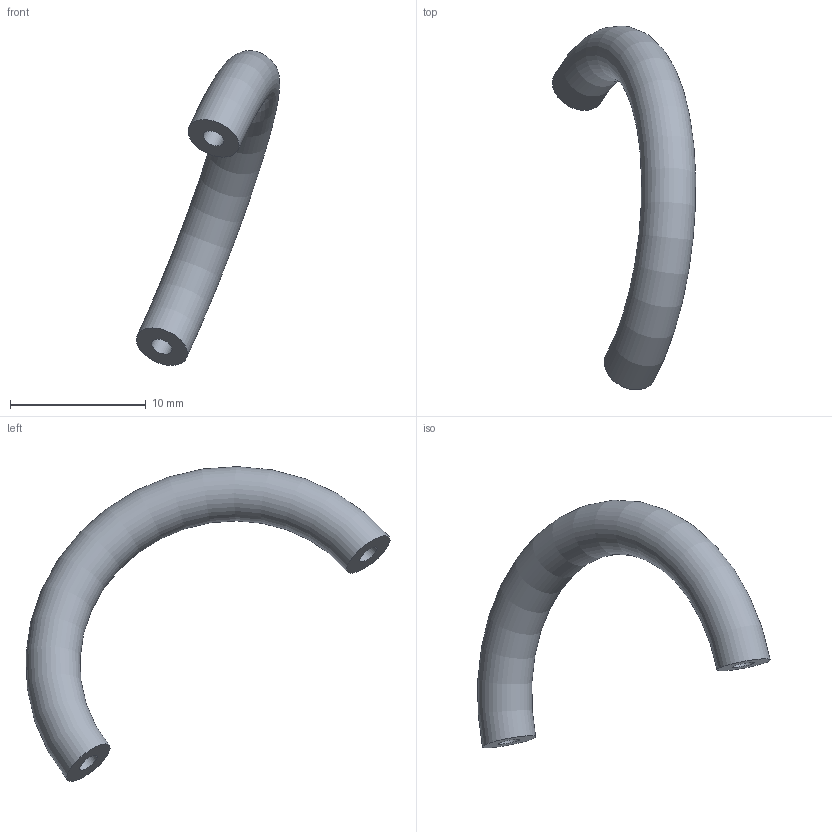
import cadquery as cq

bend_radius = 13.0
tube_diameter = 4.0
bore_diameter = 1.6
bend_angle = 180.0

apex_direction = cq.Vector(0.338, 0.601, 0.724)
ring_normal = cq.Vector(0.934, -0.093, -0.357)

outward_direction = apex_direction.cross(ring_normal).normalized()
end_plane = cq.Plane(
    origin=outward_direction * bend_radius,
    xDir=outward_direction,
    normal=apex_direction,
)


def bent_tube():
    """Ring-shaped tube section swung about the bend axis, over the apex to the other end."""
    bend_axis_start = (-bend_radius, 0)
    bend_axis_end = (-bend_radius, -1)
    return (
        cq.Workplane(end_plane)
        .circle(tube_diameter / 2)
        .circle(bore_diameter / 2)
        .revolve(bend_angle, bend_axis_start, bend_axis_end)
    )


result = bent_tube()